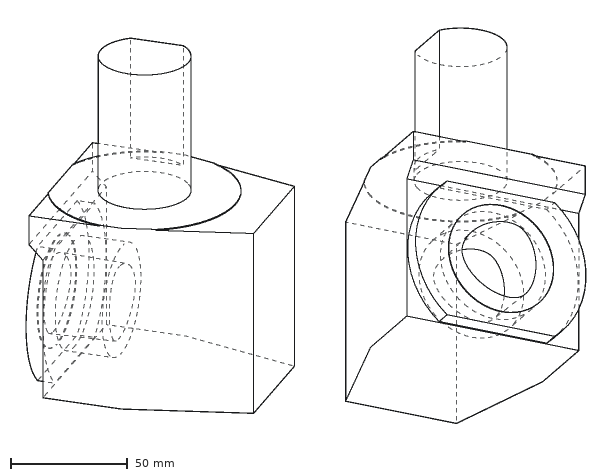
import cadquery as cq
import math


WIDTH = 82.0
HALF_WIDTH = WIDTH / 2
BACK_WIDTH = 52.8
BLOCK_FRONT = -38.2
BLOCK_BACK = 58.9
TAPER_START = 4.0
SEAT_FRONT = -31.8
LIP_BOTTOM = 71.0
LIP_RUN = SEAT_FRONT - BLOCK_FRONT
SEAT_TOP = LIP_BOTTOM - LIP_RUN

OVERALL_HEIGHT = 148.0
PAD_TOP = 85.0
PAD_RAISE = 0.5
BLOCK_TOP = PAD_TOP - PAD_RAISE
PAD_DIAMETER = 82.9
SHANK_DIAMETER = 40.0
SHANK_FLAT_Y = 16.0
SHANK_COLLAR = 6.8
SHANK_FLAT_BOTTOM = PAD_TOP + SHANK_COLLAR

FLANGE_AXIS_Z = 32.0
FLANGE_DIAMETER = 81.3
FLANGE_HEIGHT = 63.0
FLANGE_FRONT = -39.7
FLANGE_THICKNESS = SEAT_FRONT - FLANGE_FRONT
FACE_FRONT = -40.1
FACE_DIAMETER = 50.0

SOCKET_RADIUS = 17.6
SOCKET_LOBE = 1.11
SOCKET_DEPTH = 29.6
SOCKET_TAPER = 1 / 40


def make_shank():
    shank = (
        cq.Workplane("XY", origin=(0, 0, PAD_TOP))
        .circle(SHANK_DIAMETER / 2)
        .extrude(OVERALL_HEIGHT - PAD_TOP)
    )
    flat_cut = (
        cq.Workplane("XY", origin=(0, SHANK_FLAT_Y, SHANK_FLAT_BOTTOM))
        .rect(SHANK_DIAMETER, SHANK_DIAMETER)
        .extrude(OVERALL_HEIGHT - SHANK_FLAT_BOTTOM)
        .translate((0, SHANK_DIAMETER / 2, 0))
    )
    return shank.cut(flat_cut)


def plan_prism(height):
    """Housing plan outline, with parallel sides that narrow toward +X."""
    return (
        cq.Workplane("XY")
        .moveTo(BLOCK_FRONT, -HALF_WIDTH)
        .lineTo(TAPER_START, -HALF_WIDTH)
        .lineTo(BLOCK_BACK, -BACK_WIDTH / 2)
        .lineTo(BLOCK_BACK, BACK_WIDTH / 2)
        .lineTo(TAPER_START, HALF_WIDTH)
        .lineTo(BLOCK_FRONT, HALF_WIDTH)
        .close()
        .extrude(height)
    )


def make_flange_recess():
    """Space removed below the lip, with a sloping top."""
    return (
        cq.Workplane("XZ")
        .moveTo(BLOCK_FRONT, 0)
        .lineTo(SEAT_FRONT, 0)
        .lineTo(SEAT_FRONT, SEAT_TOP)
        .lineTo(BLOCK_FRONT, LIP_BOTTOM)
        .close()
        .extrude(HALF_WIDTH, both=True)
    )


def make_pad():
    """Low round pad, trimmed flush with the sides of the block."""
    disc = (
        cq.Workplane("XY", origin=(0, 0, BLOCK_TOP))
        .circle(PAD_DIAMETER / 2)
        .extrude(PAD_RAISE)
    )
    return disc.intersect(plan_prism(PAD_TOP))


def socket_point(mean_radius, angle):
    """Point on a smooth three-lobed curve with one lobe toward +Y."""
    reach = mean_radius + SOCKET_LOBE * math.cos(3 * angle)
    slope = -3 * SOCKET_LOBE * math.sin(3 * angle)
    along_y = reach * math.cos(angle) - slope * math.sin(angle)
    along_z = reach * math.sin(angle) + slope * math.cos(angle)
    return along_y, along_z


def socket_wire(depth):
    radius = SOCKET_RADIUS - SOCKET_TAPER * depth
    point_count = 36
    points = [
        socket_point(radius, 2 * math.pi * i / point_count)
        for i in range(point_count)
    ]
    plane = cq.Workplane("YZ", origin=(FACE_FRONT + depth, 0, FLANGE_AXIS_Z))
    return plane.spline(points, periodic=True).close().val()


def make_socket():
    mouth = socket_wire(0)
    floor = socket_wire(SOCKET_DEPTH)
    return cq.Workplane(cq.Solid.makeLoft([mouth, floor], True))


def make_core():
    """Solid cylinder that forms the clamping face and the sleeve."""
    return (
        cq.Workplane("YZ", origin=(FACE_FRONT, 0, FLANGE_AXIS_Z))
        .circle(FACE_DIAMETER / 2)
        .extrude(SOCKET_DEPTH)
    )


def make_housing():
    block = plan_prism(BLOCK_TOP).cut(make_flange_recess())
    return block.union(make_pad()).union(make_shank()).cut(make_core())


def make_flange():
    disc = (
        cq.Workplane("YZ", origin=(FLANGE_FRONT, 0, FLANGE_AXIS_Z))
        .circle(FLANGE_DIAMETER / 2)
        .extrude(FLANGE_THICKNESS)
    )
    flats = (
        cq.Workplane("YZ", origin=(FLANGE_FRONT, 0, FLANGE_AXIS_Z))
        .rect(FLANGE_DIAMETER, FLANGE_HEIGHT)
        .extrude(FLANGE_THICKNESS)
    )
    return disc.intersect(flats).union(make_core()).cut(make_socket())


housing = make_housing()
flange = make_flange()

result = cq.Compound.makeCompound([housing.val(), flange.val()])